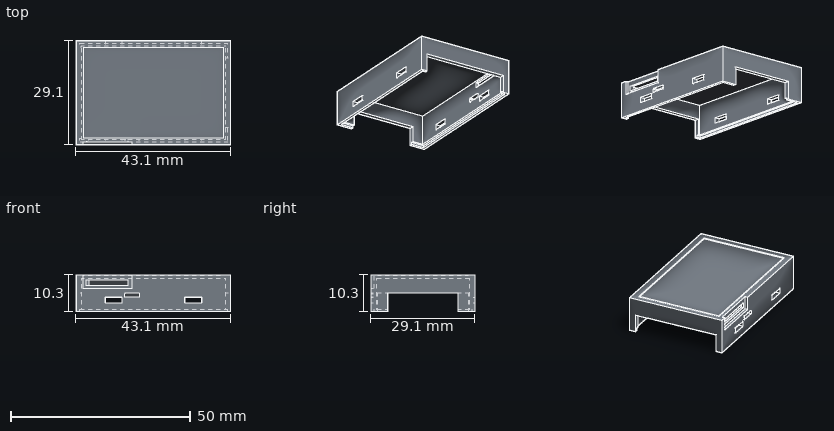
import cadquery as cq

length = 43.1
width = 29.1
height = 10.3

wall = 1.5
roof = 1.0
cover_lip = 0.85
cover_depth = 0.6

screen_margin = 2.0
screen_depth = 0.25

end_opening_height = 5.2
left_jamb = 1.85
right_jamb = 4.8

card_recess_x = 1.85
card_recess_length = 13.65
card_recess_bottom = 6.45
card_recess_depth = 0.8
card_slot_x = 2.75
card_slot_end = 14.45
card_slot_bottom = 7.35
card_slot_height = 1.42
card_slot_taper = 0.78

connector_x = 13.5
connector_length = 4.2
connector_bottom = 4.15
connector_height = 1.1
connector_chamfer = 0.25

window_positions = (8.1, 30.3)
window_length = 4.65
window_bottom = 2.45
window_height = 1.55


def block(x, y, z, dx, dy, dz):
    """Box with its lowest corner at (x, y, z)."""
    return cq.Workplane("XY").box(dx, dy, dz, centered=False).translate((x, y, z))


def inset_block(margin, bottom, top):
    """Box inset evenly from the four outer sides."""
    return block(margin, margin, bottom, length - 2 * margin, width - 2 * margin, top - bottom)


def end_opening(x, jamb):
    """Opening through one end wall, reaching down to the bottom."""
    return block(x, jamb, 0, wall, width - 2 * jamb, end_opening_height)


def card_slot():
    """Slot from the card recess to the cavity, narrowing inward at one end."""
    return (
        cq.Workplane("XY", origin=(0, 0, card_slot_bottom))
        .moveTo(card_slot_x, card_recess_depth)
        .lineTo(card_slot_end, card_recess_depth)
        .lineTo(card_slot_end, wall)
        .lineTo(card_slot_x + card_slot_taper, wall)
        .close()
        .extrude(card_slot_height)
    )


def connector_slot():
    """Slot through the front wall with its two upper corners chamfered."""
    slot = block(connector_x, 0, connector_bottom, connector_length, wall, connector_height)
    return slot.edges("|Y and >Z").chamfer(connector_chamfer)


body = block(0, 0, 0, length, width, height)

body = body.cut(inset_block(wall, 0, height - roof))
body = body.cut(inset_block(cover_lip, 0, cover_depth))
body = body.cut(inset_block(screen_margin, height - screen_depth, height))

body = body.cut(end_opening(0, left_jamb))
body = body.cut(end_opening(length - wall, right_jamb))

card_recess = block(
    card_recess_x, 0, card_recess_bottom,
    card_recess_length, card_recess_depth, height - card_recess_bottom,
)
body = body.cut(card_recess).cut(card_slot()).cut(connector_slot())

for window_x in window_positions:
    body = body.cut(block(window_x, 0, window_bottom, window_length, width, window_height))

result = body